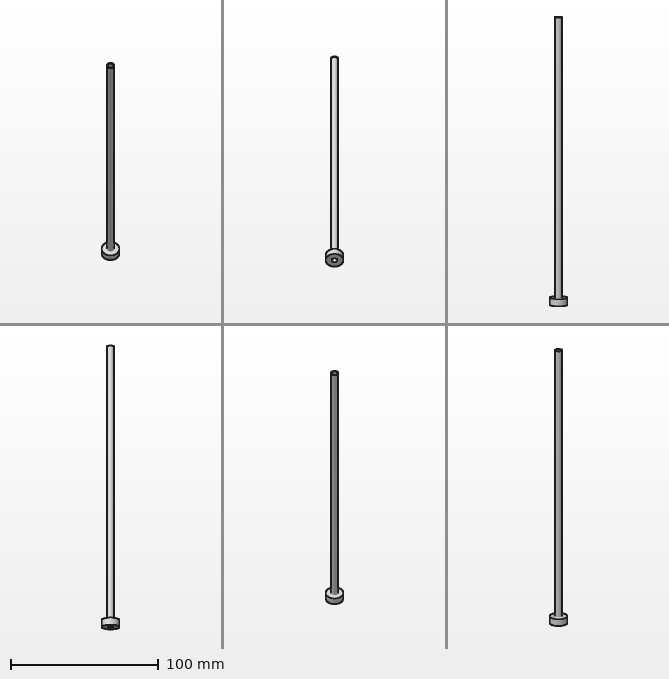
import cadquery as cq
import math

total_length = 198.0
head_diameter = 12.0
head_height = 5.0
tube_diameter = 5.0
bore_diameter = 3.7
root_fillet_radius = 0.3

head_radius = head_diameter / 2
tube_radius = tube_diameter / 2
bore_radius = bore_diameter / 2


def make_wall_profile():
    """Half section of the sleeve in the XZ plane, from the bore wall outward."""
    arc_offset = root_fillet_radius * (1 - math.cos(math.radians(45)))
    fillet_middle = (tube_radius + arc_offset, head_height + arc_offset)
    fillet_end = (tube_radius, head_height + root_fillet_radius)
    return (
        cq.Workplane("XZ")
        .moveTo(bore_radius, 0)
        .lineTo(head_radius, 0)
        .lineTo(head_radius, head_height)
        .lineTo(tube_radius + root_fillet_radius, head_height)
        .threePointArc(fillet_middle, fillet_end)
        .lineTo(tube_radius, total_length)
        .lineTo(bore_radius, total_length)
        .close()
    )


def make_sleeve():
    """Revolve the half section a full turn about the Z axis."""
    axis_start = (0, 0, 0)
    axis_end = (0, 1, 0)
    return make_wall_profile().revolve(360, axis_start, axis_end)


result = make_sleeve()